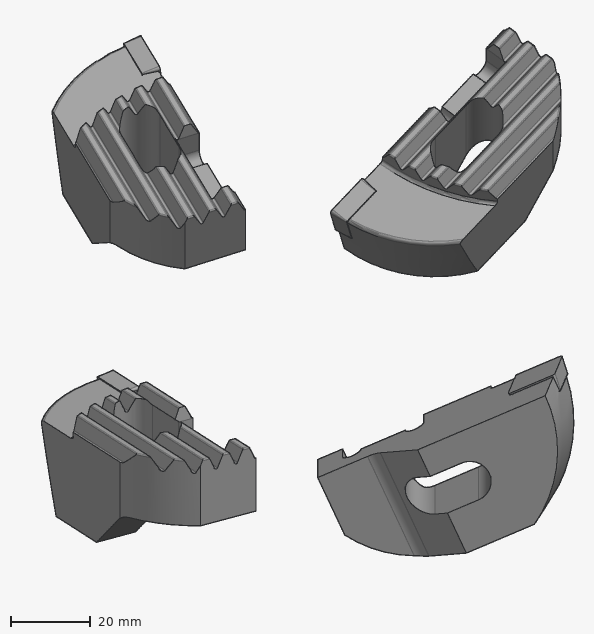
import cadquery as cq
import math

JAW_RIGHT = 67.5
JAW_DEPTH = 30.0
JAW_TOP = 29.9
LEFT_MARGIN = 3.4

FOOT_RIGHT = 39.95
TAIL_BOTTOM = 11.75
TAIL_FILLET = 5.0

AXIS_X = 40.5
TAIL_RADIUS = 31.7

GRIP_RADIUS = 39.9
GRIP_TAPER = math.radians(10)

SHELF_HEIGHT = 24.15
RISER_CENTRE_X = 72.7
RISER_RADIUS = 52.85
SHELF_EDGE_FILLET = 0.8
RISER_FILLET = 0.9

TOOTH_COUNT = 5
TOOTH_PITCH = JAW_DEPTH / TOOTH_COUNT
TOOTH_HEIGHT = 3.65
VALLEY_WIDTH = 0.8
VALLEY_SAG = 0.3
CREST_WIDTH = 1.8
CREST_FILLET = 0.35
TOOTH_ROOT = JAW_TOP - TOOTH_HEIGHT

SLOT_CENTRE = (37.4, -13.0)
SLOT_LENGTH = 22.6
SLOT_WIDTH = 10.6

NOTCH_LEFT = 38.35
NOTCH_RIGHT = 60.6
NOTCH_DEPTH = 6.55
NOTCH_FLOOR = 20.0
NOTCH_FLARE = 0.55
SCOOP_RADIUS = 2.5

INSERT_TOP = 25.05
INSERT_HEIGHT = 12.7
INSERT_THICKNESS = 4.8
INSERT_OVERHANG = 0.5
INSERT_LEAN = math.radians(10)
INSERT_CLEARANCE = 7.0
INSERT_CORNER = 0.8


def blank():
    """Side outline crossed with the plan outline."""
    tail_start = FOOT_RIGHT + TAIL_BOTTOM
    side = (
        cq.Workplane("XZ")
        .moveTo(-LEFT_MARGIN, 0)
        .lineTo(FOOT_RIGHT, 0)
        .lineTo(tail_start, TAIL_BOTTOM)
        .lineTo(JAW_RIGHT, TAIL_BOTTOM)
        .lineTo(JAW_RIGHT, JAW_TOP)
        .lineTo(-LEFT_MARGIN, JAW_TOP)
        .close()
        .extrude(JAW_DEPTH)
    )
    tail_edge = cq.selectors.NearestToPointSelector((tail_start, -JAW_DEPTH / 2, TAIL_BOTTOM))
    side = side.edges("|Y").edges(tail_edge).fillet(TAIL_FILLET)
    arc_start_y = -math.sqrt(TAIL_RADIUS**2 - (JAW_RIGHT - AXIS_X) ** 2)
    arc_end_x = AXIS_X + math.sqrt(TAIL_RADIUS**2 - JAW_DEPTH**2)
    plan = (
        cq.Workplane("XY")
        .moveTo(-LEFT_MARGIN, 0)
        .lineTo(JAW_RIGHT, 0)
        .lineTo(JAW_RIGHT, arc_start_y)
        .radiusArc((arc_end_x, -JAW_DEPTH), TAIL_RADIUS)
        .lineTo(-LEFT_MARGIN, -JAW_DEPTH)
        .close()
        .extrude(JAW_TOP)
    )
    return side.intersect(plan)


def grip_cone():
    """Cone, narrowing downwards, that bounds the gripping face."""
    bottom_radius = GRIP_RADIUS - SHELF_HEIGHT * math.tan(GRIP_TAPER)
    top_radius = bottom_radius + JAW_TOP * math.tan(GRIP_TAPER)
    base = cq.Vector(AXIS_X, 0, 0)
    return cq.Workplane(cq.Solid.makeCone(bottom_radius, top_radius, JAW_TOP, pnt=base))


def shelf_cut():
    """Everything above the shelf and left of the riser."""
    height = JAW_TOP - SHELF_HEIGHT
    above = (
        cq.Workplane("XY", origin=(-LEFT_MARGIN, -JAW_DEPTH, SHELF_HEIGHT))
        .rect(JAW_RIGHT, JAW_DEPTH, centered=False)
        .extrude(height)
    )
    riser = (
        cq.Workplane("XY", origin=(RISER_CENTRE_X, 0, SHELF_HEIGHT))
        .circle(RISER_RADIUS)
        .extrude(height)
    )
    return above.cut(riser)


def tooth_row():
    """Serrated bar along X, half a valley wider than the jaw on each side."""
    shoulder = TOOTH_ROOT + VALLEY_SAG
    half_valley = VALLEY_WIDTH / 2
    crest_start = (TOOTH_PITCH - CREST_WIDTH) / 2
    outline = (
        cq.Workplane("YZ", origin=(-LEFT_MARGIN, -JAW_DEPTH, 0))
        .moveTo(-half_valley, 0)
        .lineTo(-half_valley, shoulder)
        .threePointArc((0, TOOTH_ROOT), (half_valley, shoulder))
    )
    for tooth in range(TOOTH_COUNT):
        foot = tooth * TOOTH_PITCH
        next_foot = foot + TOOTH_PITCH
        outline = (
            outline.lineTo(foot + crest_start, JAW_TOP)
            .lineTo(next_foot - crest_start, JAW_TOP)
            .lineTo(next_foot - half_valley, shoulder)
            .threePointArc((next_foot, TOOTH_ROOT), (next_foot + half_valley, shoulder))
        )
    return outline.lineTo(JAW_DEPTH + half_valley, 0).close().extrude(JAW_RIGHT + LEFT_MARGIN)


def slot():
    """Straight vertical slot with round ends."""
    return (
        cq.Workplane("XY", origin=(*SLOT_CENTRE, 0))
        .slot2D(SLOT_LENGTH, SLOT_WIDTH)
        .extrude(JAW_TOP)
    )


def notch():
    """Channel from the back face, open upwards."""
    scoop = 2 * SCOOP_RADIUS
    scoop_bottom = NOTCH_FLOOR - SCOOP_RADIUS
    return (
        cq.Workplane("XZ")
        .moveTo(NOTCH_LEFT, NOTCH_FLOOR)
        .threePointArc((NOTCH_LEFT + SCOOP_RADIUS, scoop_bottom), (NOTCH_LEFT + scoop, NOTCH_FLOOR))
        .lineTo(NOTCH_RIGHT - scoop, NOTCH_FLOOR)
        .threePointArc((NOTCH_RIGHT - SCOOP_RADIUS, scoop_bottom), (NOTCH_RIGHT, NOTCH_FLOOR))
        .lineTo(NOTCH_RIGHT, TOOTH_ROOT)
        .lineTo(NOTCH_RIGHT + NOTCH_FLARE, JAW_TOP)
        .lineTo(NOTCH_LEFT - NOTCH_FLARE, JAW_TOP)
        .lineTo(NOTCH_LEFT, TOOTH_ROOT)
        .close()
        .extrude(NOTCH_DEPTH)
    )


def make_insert():
    """Rhombic plate with rounded corners, tapering forwards from its back face."""
    side = INSERT_HEIGHT / math.cos(INSERT_LEAN)
    shift = INSERT_HEIGHT * math.tan(INSERT_LEAN)
    corner_reach = math.tan(INSERT_LEAN) + 1 / math.cos(INSERT_LEAN) - 1
    left = -INSERT_CORNER * corner_reach
    bottom = INSERT_TOP - INSERT_HEIGHT
    outline = (
        cq.Sketch()
        .polygon([
            (left, INSERT_TOP),
            (left + side, INSERT_TOP),
            (left + side + shift, bottom),
            (left + shift, bottom),
            (left, INSERT_TOP),
        ])
        .vertices()
        .fillet(INSERT_CORNER)
    )
    return (
        cq.Workplane("XZ", origin=(0, INSERT_OVERHANG, 0))
        .placeSketch(outline)
        .extrude(INSERT_THICKNESS, taper=INSERT_CLEARANCE)
    )


def make_jaw(insert):
    """Serrated jaw with a pocket that matches the insert."""
    jaw = blank().intersect(grip_cone()).cut(shelf_cut())
    mid_y = -JAW_DEPTH / 2
    riser_x = RISER_CENTRE_X - math.sqrt(RISER_RADIUS**2 - mid_y**2)
    grip_x = AXIS_X - math.sqrt(GRIP_RADIUS**2 - mid_y**2)
    riser_foot = cq.selectors.NearestToPointSelector((riser_x, mid_y, SHELF_HEIGHT))
    shelf_edge = cq.selectors.NearestToPointSelector((grip_x, mid_y, SHELF_HEIGHT))
    jaw = jaw.edges(riser_foot).fillet(RISER_FILLET)
    jaw = jaw.edges(shelf_edge).fillet(SHELF_EDGE_FILLET)
    jaw = jaw.intersect(tooth_row())
    jaw = jaw.faces(">Z").edges().fillet(CREST_FILLET)
    return jaw.cut(slot()).cut(notch()).cut(insert)


insert = make_insert()
jaw = make_jaw(insert)

result = cq.Compound.makeCompound([jaw.solids().val(), insert.val()])